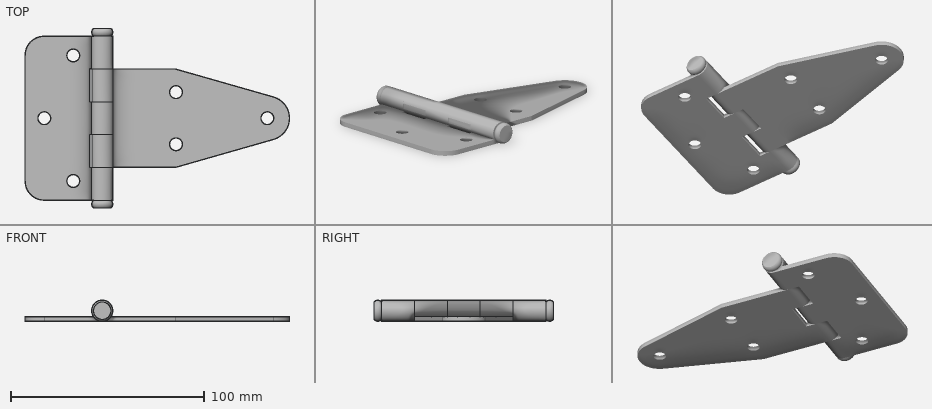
import cadquery as cq
import math

leaf_thickness = 2.5
barrel_radius = 5.5
pin_radius = barrel_radius - leaf_thickness
axis_height = barrel_radius
hole_diameter = 6.5

knuckle_count = 5
knuckle_length = 17.0
barrel_length = knuckle_count * knuckle_length

plate_reach = 40.0
plate_corner_radius = 10.0
notch_depth = 6.4
plate_holes = [(-30.0, 0.0), (-15.0, 32.5), (-15.0, -32.5)]

strap_width = 3 * knuckle_length
taper_start = 38.0
tip_center = 85.5
tip_radius = 11.5
strap_holes = [(tip_center, 0.0), (38.2, 13.5), (38.2, -13.5)]
flat_offset = 5.3

head_length = 4.0
head_radius = barrel_radius
head_face_radius = 4.5

knuckle_centers = [(i - (knuckle_count - 1) / 2) * knuckle_length for i in range(knuckle_count)]
plate_knuckles = knuckle_centers[0::2]
strap_knuckles = knuckle_centers[1::2]


def axial_cylinder(radius, length, y_center):
    """Cylinder on the hinge axis, centred at y_center."""
    return (
        cq.Workplane("XZ", origin=(0, y_center + length / 2, axis_height))
        .circle(radius)
        .extrude(length)
    )


def leaf_notch(x_start, x_end, y_center):
    """Opening through a leaf, one knuckle long, that clears a knuckle of the other leaf."""
    return cq.Workplane("XY").box(
        x_end - x_start, knuckle_length, leaf_thickness, centered=(False, True, False)
    ).translate((x_start, y_center, 0))


def screw_holes(centers):
    """Straight holes through the leaf thickness."""
    return cq.Workplane("XY").pushPoints(centers).circle(hole_diameter / 2).extrude(leaf_thickness)


def pin_bore():
    return axial_cylinder(pin_radius, barrel_length, 0)


def build_plate_leaf():
    leaf = (
        cq.Workplane("XY")
        .box(plate_reach, barrel_length, leaf_thickness, centered=(False, True, False))
        .translate((-plate_reach, 0, 0))
        .edges("|Z and <X")
        .fillet(plate_corner_radius)
    )
    for y in strap_knuckles:
        leaf = leaf.cut(leaf_notch(-notch_depth, 0, y))
    for y in plate_knuckles:
        leaf = leaf.union(axial_cylinder(barrel_radius, knuckle_length, y))
    return leaf.cut(pin_bore()).cut(screw_holes(plate_holes))


def strap_blank():
    """Strap outline: parallel sides, then a taper tangent to the round tip."""
    half_width = strap_width / 2
    run = tip_center - taper_start
    corner_distance = math.hypot(run, half_width)
    tangent_angle = math.pi - math.atan2(half_width, run) - math.acos(tip_radius / corner_distance)
    tangent_x = tip_center + tip_radius * math.cos(tangent_angle)
    tangent_y = tip_radius * math.sin(tangent_angle)
    return (
        cq.Workplane("XY")
        .moveTo(0, -half_width)
        .lineTo(taper_start, -half_width)
        .lineTo(tangent_x, -tangent_y)
        .threePointArc((tip_center + tip_radius, 0), (tangent_x, tangent_y))
        .lineTo(taper_start, half_width)
        .lineTo(0, half_width)
        .close()
        .extrude(leaf_thickness)
    )


def strap_knuckle(y_center):
    """Knuckle with a narrow relief flat on the side facing the other leaf."""
    flat_cutter = cq.Workplane("XY").box(
        barrel_radius, knuckle_length, 2 * barrel_radius
    ).translate((-flat_offset - barrel_radius / 2, y_center, axis_height))
    return axial_cylinder(barrel_radius, knuckle_length, y_center).cut(flat_cutter)


def build_strap_leaf():
    leaf = strap_blank()
    middle_knuckle = knuckle_centers[knuckle_count // 2]
    leaf = leaf.cut(leaf_notch(0, barrel_radius, middle_knuckle))
    for y in strap_knuckles:
        leaf = leaf.union(strap_knuckle(y))
    return leaf.cut(pin_bore()).cut(screw_holes(strap_holes))


def pin_head(y_center):
    """Disc with flat faces and a rim bulging in one arc from face to face."""
    half_length = head_length / 2
    return (
        cq.Workplane("XY", origin=(0, y_center, axis_height))
        .moveTo(0, -half_length)
        .lineTo(head_face_radius, -half_length)
        .threePointArc((head_radius, 0), (head_face_radius, half_length))
        .lineTo(0, half_length)
        .close()
        .revolve(360, (0, 0, 0), (0, 1, 0))
    )


def build_pin():
    pin = axial_cylinder(pin_radius, barrel_length, 0)
    for side in (-1, 1):
        pin = pin.union(pin_head(side * (barrel_length + head_length) / 2))
    return pin


plate_leaf = build_plate_leaf()
strap_leaf = build_strap_leaf()
pin = build_pin()

result = cq.Compound.makeCompound([plate_leaf.val(), strap_leaf.val(), pin.val()])